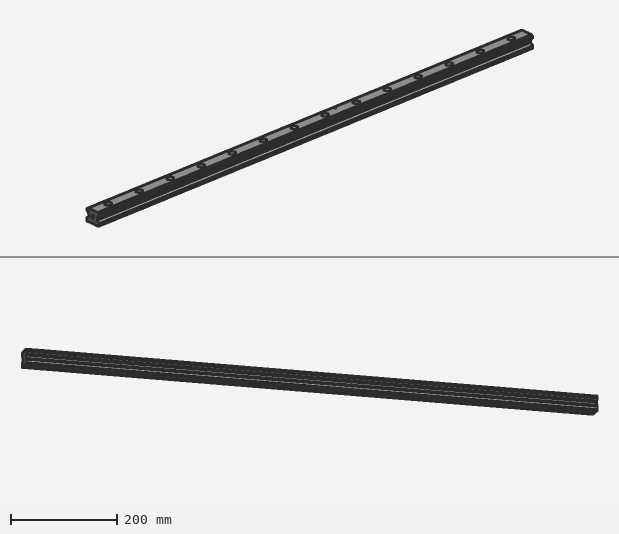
import cadquery as cq

rail_width = 34.0
rail_length = 1120.0
rail_height = 29.0
half_width = rail_width / 2

relief_half_width = 8.6
relief_depth = 0.3

base_chamfer = 1.5
foot_edge_height = 7.0
foot_edge_chamfer = 0.4

neck_half_width = 11.7
neck_bottom_height = 11.5
neck_top_height = 16.5

lower_groove_half_width = 13.5
lower_groove_height = 19.5
lip_bottom_height = 23.0
lip_top_height = 25.8
upper_groove_half_width = 13.8
upper_groove_height = 28.5
top_half_width = 13.2
lower_groove_radius = 3.5
upper_groove_radius = 4.0

recess_pitch = 80.0
recess_count = 14
recess_diameter = 14.0
recess_depth = 0.4

end_recess_diameter = 6.0
end_recess_x = -1.0
end_recess_height = 14.5
end_recess_depth = 1.0


def make_half_rail():
    """Extrude the +X half of the cross-section along Y, with its inner side on X = 0."""
    foot_corner = (half_width - foot_edge_chamfer, foot_edge_height + foot_edge_chamfer)
    outline = (
        cq.Workplane("XZ")
        .moveTo(0, relief_depth)
        .lineTo(relief_half_width, relief_depth)
        .lineTo(relief_half_width, 0)
        .lineTo(half_width - base_chamfer, 0)
        .lineTo(half_width, base_chamfer)
        .lineTo(half_width, foot_edge_height)
        .lineTo(*foot_corner)
        .lineTo(neck_half_width, neck_bottom_height)
        .lineTo(neck_half_width, neck_top_height)
        .lineTo(lower_groove_half_width, lower_groove_height)
        .radiusArc((half_width, lip_bottom_height), lower_groove_radius)
        .lineTo(half_width, lip_top_height)
        .radiusArc((upper_groove_half_width, upper_groove_height), upper_groove_radius)
        .lineTo(top_half_width, rail_height)
        .lineTo(0, rail_height)
        .close()
    )
    return outline.extrude(rail_length / 2, both=True)


def make_rail():
    """Join the half rail to its mirror image about the YZ plane."""
    half_rail = make_half_rail()
    return half_rail.union(half_rail.mirror("YZ")).clean()


def cut_top_recesses(rail):
    """Cut the row of round flat-bottomed recesses into the top face."""
    recesses = (
        cq.Workplane("XY", origin=(0, 0, rail_height))
        .rarray(1, recess_pitch, 1, recess_count)
        .circle(recess_diameter / 2)
        .extrude(-recess_depth)
    )
    return rail.cut(recesses)


def cut_end_recess(rail):
    """Cut the small round recess into the -Y end face."""
    recess = (
        cq.Workplane("XZ", origin=(end_recess_x, -rail_length / 2, end_recess_height))
        .circle(end_recess_diameter / 2)
        .extrude(-end_recess_depth)
    )
    return rail.cut(recess)


result = make_rail()
result = cut_top_recesses(result)
result = cut_end_recess(result)